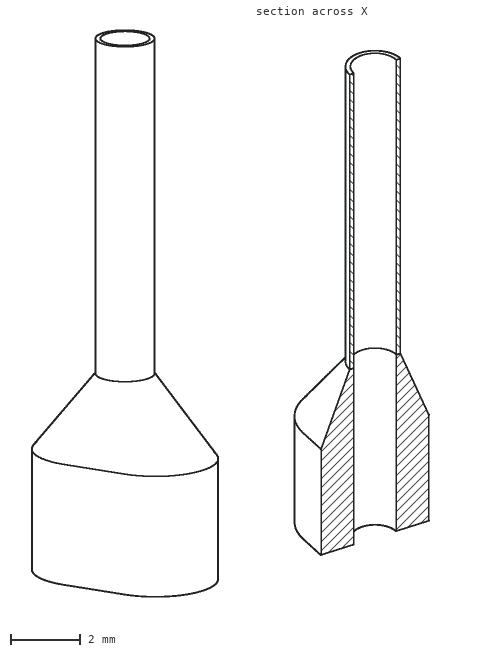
import cadquery as cq

total_height = 16.0
collar_length = 5.6
collar_width = 3.6
skirt_height = 3.6
tube_length = 10.0
tube_diameter = 1.7
bore_diameter = 1.4

tube_base = total_height - tube_length
taper_height = tube_base - skirt_height
end_radius = collar_width / 2
end_offset = (collar_length - collar_width) / 2
tube_radius = tube_diameter / 2
bore_radius = bore_diameter / 2


def add_half_disc(workplane, offset, radius, side):
    """Draw a half disc bulging along X; side is +1 or -1."""
    return (
        workplane.moveTo(side * offset, -radius)
        .threePointArc((side * (offset + radius), 0), (side * offset, radius))
        .close()
    )


def make_taper_end(side):
    """Half of an oblique cone running from a skirt end to the tube."""
    base = add_half_disc(cq.Workplane("XY").workplane(offset=skirt_height), end_offset, end_radius, side)
    top = add_half_disc(base.workplane(offset=taper_height), 0, tube_radius, side)
    return top.loft(ruled=True)


def make_taper_middle():
    """Wedge between the cone halves, ending in a line across the tube."""
    triangle = (
        cq.Workplane("XZ")
        .polyline([(-end_offset, skirt_height), (end_offset, skirt_height), (0, tube_base)])
        .close()
        .extrude(end_radius, both=True)
    )
    trapezoid = (
        cq.Workplane("YZ")
        .polyline([
            (-end_radius, skirt_height),
            (end_radius, skirt_height),
            (tube_radius, tube_base),
            (-tube_radius, tube_base),
        ])
        .close()
        .extrude(end_offset, both=True)
    )
    return triangle.intersect(trapezoid)


def make_collar():
    """Insulating collar: slot-shaped skirt, taper and through bore."""
    collar = cq.Workplane("XY").slot2D(collar_length, collar_width).extrude(skirt_height)
    collar = collar.union(make_taper_middle())
    for side in (-1, 1):
        collar = collar.union(make_taper_end(side))
    bore = cq.Workplane("XY").circle(bore_radius).extrude(tube_base)
    return collar.cut(bore)


def make_tube():
    """Thin-walled tube standing on the collar, in line with its bore."""
    return (
        cq.Workplane("XY")
        .workplane(offset=tube_base)
        .circle(tube_radius)
        .circle(bore_radius)
        .extrude(tube_length)
    )


collar = make_collar()
tube = make_tube()

result = cq.Compound.makeCompound([collar.solids().val(), tube.val()])